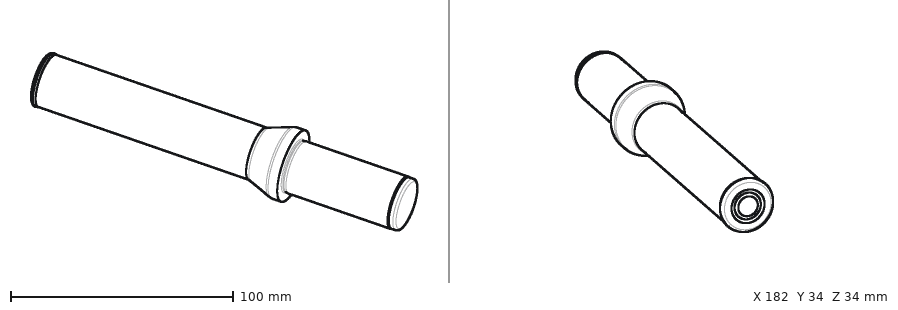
import cadquery as cq
import math

overall_length = 182.0
flange_diameter = 34.0
shank_diameter = 25.0
relief_diameter = 24.5
shank_radius = shank_diameter / 2
relief_radius = relief_diameter / 2
flange_radius = flange_diameter / 2

tip_diameter = 25.7
tip_length = 3.1
tip_corner_radius = 1.55
tip_radius = tip_diameter / 2
groove_outer_radius = 8.0
groove_bottom_radius = 6.4
groove_inner_radius = 4.7
groove_depth = 0.45
face_drop = 0.4
center_recess = 0.4

neck_end = 108.0
cone_start = 109.5
cone_end = 120.0
rim_start = 121.0
flange_back = 125.5
neck_blend_rise = 0.5
cone_end_drop = 0.27
shoulder_fillet = 0.5
relief_end = 126.7
relief_taper_end = 127.8
lead_start = 178.4
lead_taper_length = 0.5
end_round = 1.1


def make_cutting_tip():
    """Disc with a rounded corner, a back taper, a V groove and a shallow central cone in its face."""
    corner_center_x = face_drop + tip_corner_radius
    corner_center_r = tip_radius - tip_corner_radius
    diagonal = tip_corner_radius * math.sqrt(0.5)
    profile = (
        cq.Workplane("XY")
        .moveTo(center_recess, 0)
        .lineTo(0, groove_inner_radius)
        .lineTo(groove_depth, groove_bottom_radius)
        .lineTo(0, groove_outer_radius)
        .lineTo(face_drop, corner_center_r)
        .threePointArc(
            (corner_center_x - diagonal, corner_center_r + diagonal),
            (corner_center_x, tip_radius),
        )
        .lineTo(tip_length, shank_radius)
        .lineTo(tip_length, 0)
        .close()
    )
    return profile.revolve(360, (0, 0, 0), (1, 0, 0))


def make_holder():
    """Round body, conical flange and relieved shank in one turned solid."""
    fillet_diagonal = shoulder_fillet * (1 - math.sqrt(0.5))
    end_diagonal = end_round * (1 - math.sqrt(0.5))
    profile = (
        cq.Workplane("XY")
        .moveTo(tip_length, 0)
        .lineTo(tip_length, shank_radius)
        .lineTo(neck_end, shank_radius)
        .lineTo(cone_start, shank_radius + neck_blend_rise)
        .lineTo(cone_end, flange_radius - cone_end_drop)
        .lineTo(rim_start, flange_radius)
        .lineTo(flange_back, flange_radius)
        .lineTo(flange_back, relief_radius + shoulder_fillet)
        .threePointArc(
            (flange_back + fillet_diagonal, relief_radius + fillet_diagonal),
            (flange_back + shoulder_fillet, relief_radius),
        )
        .lineTo(relief_end, relief_radius)
        .lineTo(relief_taper_end, shank_radius)
        .lineTo(lead_start, shank_radius)
        .lineTo(lead_start + lead_taper_length, relief_radius)
        .lineTo(overall_length - end_round, relief_radius)
        .threePointArc(
            (overall_length - end_diagonal, relief_radius - end_diagonal),
            (overall_length, relief_radius - end_round),
        )
        .lineTo(overall_length, 0)
        .close()
    )
    return profile.revolve(360, (0, 0, 0), (1, 0, 0))


cutting_tip = make_cutting_tip()
holder = make_holder()
result = cq.Compound.makeCompound([cutting_tip.val(), holder.val()])